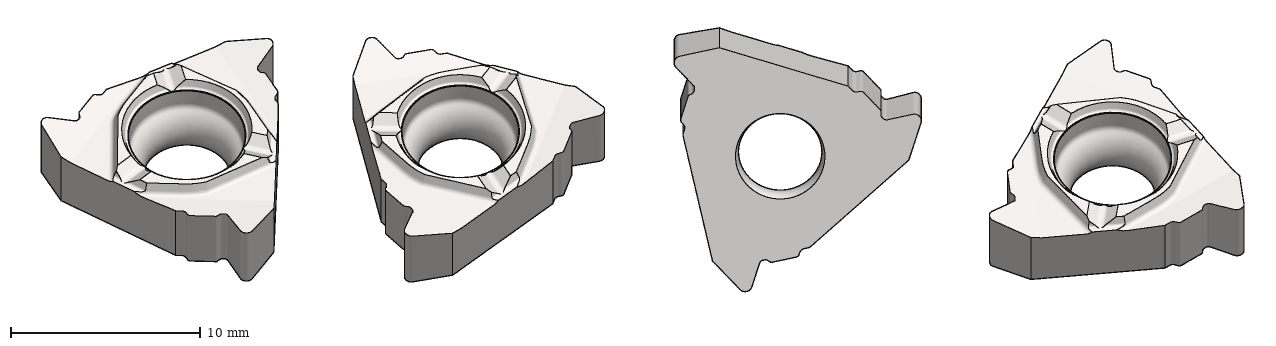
import cadquery as cq
import math

REPEAT_ANGLES = (0, 120, 240)

inscribed_radius = 4.76
total_height = 4.1
floor_height = 3.5
ledge_height = 3.63
far = 9.42
overshoot = 0.13

flank_angle = 30
left_flank_offset = 6.55
right_flank_offset = 0.73
tip_y = 6.9
tip_radius = 0.35
valley_y = 5.41
valley_end_x = -1.97
valley_radius = 0.24
land_y = 5.63
land_start_x = -1.76
land_start_radius = 0.11
land_end_x = -0.28
land_end_radius = 0.19
step_x = -0.05
step_y = 5.26
step_foot_radius = 0.28

rake_start = 4.21
rake_angle = 10
rake_blend_radius = 0.54

wall_slope = 65
tooth_wall_offset = 3.75
rear_wall_offset = 3.65
rear_wall_angle = 31.6
rear_wall_sweep = 30
side_wall_offset = 4.25
wall_foot_radius = 0.32
side_foot_radius = 0.17

notch_angle = 165.9
notch_floor_half_width = 0.03
notch_fillet_half_width = 0.23
notch_top_half_width = 0.77
notch_inner_reach = 1.35

ring_radius = 3.45
ring_foot_radius = 0.2
bore_top_radius = 3.08
bore_radius = 3.03
bore_edge_radius = 0.04
bore_bottom = 2.62
bore_blend_radius = 0.47
throat_radius = 2.2
throat_curve_radius = 1.95


def about_axis(shape, degrees):
    """Solid turned about the axis."""
    return shape.rotate((0, 0, 0), (0, 0, 1), degrees)


def turned(point, degrees):
    """Point turned about the axis."""
    angle = math.radians(degrees)
    x, y = point
    return (
        x * math.cos(angle) - y * math.sin(angle),
        x * math.sin(angle) + y * math.cos(angle),
    )


def tooth_corners():
    """Sharp corners of one tooth, left to right, each with its rounding radius."""
    cos_flank = math.cos(math.radians(flank_angle))
    sin_flank = math.sin(math.radians(flank_angle))
    shoulder_y = (left_flank_offset - inscribed_radius * cos_flank) / sin_flank
    tip_start_x = (tip_y * sin_flank - left_flank_offset) / cos_flank
    tip_end_x = (right_flank_offset - tip_y * sin_flank) / cos_flank
    valley_start_x = (right_flank_offset - valley_y * sin_flank) / cos_flank
    step_end_x = (inscribed_radius - step_y * cos_flank) / sin_flank
    return [
        ((-inscribed_radius, shoulder_y), 0),
        ((tip_start_x, tip_y), tip_radius),
        ((tip_end_x, tip_y), tip_radius),
        ((valley_start_x, valley_y), valley_radius),
        ((valley_end_x, valley_y), valley_radius),
        ((land_start_x, land_y), land_start_radius),
        ((land_end_x, land_y), land_end_radius),
        ((step_x, step_y), step_foot_radius),
        ((step_end_x, step_y), 0),
    ]


def rounded_outline(corners):
    """Closed outline through the corners, with a tangent arc at each corner that has a radius."""
    outline = None
    for index, (corner, radius) in enumerate(corners):
        vertex = cq.Vector(*corner)
        before = (cq.Vector(*corners[index - 1][0]) - vertex).normalized()
        after = (cq.Vector(*corners[(index + 1) % len(corners)][0]) - vertex).normalized()
        half_angle = before.getAngle(after) / 2
        setback = radius / math.tan(half_angle)
        apex_gap = radius / math.sin(half_angle) - radius
        start = vertex + before * setback
        outline = outline.lineTo(start.x, start.y) if outline else cq.Workplane().moveTo(start.x, start.y)
        if radius:
            middle = vertex + (before + after).normalized() * apex_gap
            end = vertex + after * setback
            outline = outline.threePointArc((middle.x, middle.y), (end.x, end.y))
    return outline.close()


def body_prism():
    """Full-height prism with the outline of the three teeth."""
    corners = []
    for angle in reversed(REPEAT_ANGLES):
        corners += [(turned(corner, angle), radius) for corner, radius in tooth_corners()]
    return rounded_outline(corners).extrude(total_height)


def wall_section(top_offset, foot_radius, base_height):
    """Region outside a sloping wall with a rounded foot: local x runs outwards, local y is height."""
    slope = math.radians(wall_slope)
    foot_rise = foot_radius * (1 - math.cos(slope))
    foot_run = foot_radius * math.sin(slope)
    wall_end_x = top_offset + (total_height - base_height - foot_rise) / math.tan(slope)
    return (
        cq.Workplane("XZ")
        .moveTo(top_offset, total_height)
        .lineTo(wall_end_x, base_height + foot_rise)
        .radiusArc((wall_end_x + foot_run, base_height), -foot_radius)
        .lineTo(far, base_height)
        .lineTo(far, total_height + overshoot)
        .lineTo(top_offset, total_height + overshoot)
        .close()
    )


def raised_centre_cutters():
    """Cutters that leave the raised centre standing beside the first tooth."""
    tooth_wall = (tooth_wall_offset, wall_foot_radius, floor_height)
    rear_wall = (rear_wall_offset, wall_foot_radius, floor_height)
    side_wall = (side_wall_offset, side_foot_radius, ledge_height)
    straight_part = wall_section(*tooth_wall).extrude(far)
    round_part = wall_section(*tooth_wall).revolve(rear_wall_sweep, (0, 0, 0), (0, 1, 0))
    rear_part = wall_section(*rear_wall).extrude(far, both=True)
    side_part = wall_section(*side_wall).extrude(far, both=True)
    return [
        about_axis(straight_part, 90),
        about_axis(round_part, 90),
        about_axis(rear_part, 90 + rear_wall_angle),
        about_axis(side_part, 180),
    ]


def notch_cutter():
    """V notch with a narrow flat floor and rounded floor corners."""
    fillet_run = notch_fillet_half_width - notch_floor_half_width
    wall_run = notch_top_half_width - notch_fillet_half_width
    depth = total_height - ledge_height
    half_tan = 0.0
    for _ in range(40):
        half_tan = math.tan(math.atan2(depth - fillet_run * half_tan, wall_run) / 2)
    fillet_rise = fillet_run * half_tan
    fillet_radius = fillet_run / math.sin(2 * math.atan(half_tan))
    fillet_top = ledge_height + fillet_rise
    notch = (
        cq.Workplane("YZ", origin=(notch_inner_reach, 0, 0))
        .moveTo(-notch_top_half_width, total_height)
        .lineTo(-notch_fillet_half_width, fillet_top)
        .radiusArc((-notch_floor_half_width, ledge_height), -fillet_radius)
        .lineTo(notch_floor_half_width, ledge_height)
        .radiusArc((notch_fillet_half_width, fillet_top), -fillet_radius)
        .lineTo(notch_top_half_width, total_height)
        .lineTo(notch_top_half_width, total_height + overshoot)
        .lineTo(-notch_top_half_width, total_height + overshoot)
        .close()
        .extrude(far)
    )
    return about_axis(notch, notch_angle)


def rake_wedge():
    """Wedge that rises from the floor towards the tip of the first tooth."""
    rake = math.radians(rake_angle)
    blend_end = rake_start + rake_blend_radius * math.sin(rake)
    blend_top = floor_height + rake_blend_radius * (1 - math.cos(rake))
    return (
        cq.Workplane("YZ")
        .moveTo(rake_start, floor_height)
        .radiusArc((blend_end, blend_top), -rake_blend_radius)
        .lineTo(far, blend_top + (far - blend_end) * math.tan(rake))
        .lineTo(far, floor_height - overshoot)
        .lineTo(rake_start, floor_height - overshoot)
        .close()
        .extrude(far, both=True)
    )


def hole_cutter():
    """Ring recess, tapered bore and waisted screw hole, turned about the axis."""
    slope = math.radians(wall_slope)
    foot_rise = ring_foot_radius * (1 - math.cos(slope))
    foot_run = ring_foot_radius * math.sin(slope)
    wall_end = ring_radius - (total_height - ledge_height - foot_rise) / math.tan(slope)
    curve_sum = throat_curve_radius + bore_blend_radius
    join = math.acos(1 - (bore_radius - throat_radius) / curve_sum)
    join_radius = bore_radius - bore_blend_radius * (1 - math.cos(join))
    join_height = bore_bottom - bore_blend_radius * math.sin(join)
    throat_height = join_height - throat_curve_radius * math.sin(join)
    throat_centre = throat_radius + throat_curve_radius
    seat_radius = throat_centre - math.sqrt(throat_curve_radius**2 - throat_height**2)
    return (
        cq.Workplane("XZ")
        .moveTo(0, total_height + overshoot)
        .lineTo(ring_radius, total_height + overshoot)
        .lineTo(ring_radius, total_height)
        .lineTo(wall_end, ledge_height + foot_rise)
        .radiusArc((wall_end - foot_run, ledge_height), ring_foot_radius)
        .lineTo(bore_top_radius + bore_edge_radius, ledge_height)
        .radiusArc((bore_top_radius, ledge_height - bore_edge_radius), -bore_edge_radius)
        .lineTo(bore_radius, bore_bottom)
        .radiusArc((join_radius, join_height), bore_blend_radius)
        .threePointArc((throat_radius, throat_height), (seat_radius, 0))
        .lineTo(0, 0)
        .close()
        .revolve(360, (0, 0, 0), (0, 1, 0))
    )


def repeated(shape):
    """The shape at all three repeat angles."""
    return [about_axis(shape, angle) for angle in REPEAT_ANGLES]


prism = body_prism()
result = prism
for cutter in raised_centre_cutters() + [notch_cutter()]:
    for copy in repeated(cutter):
        result = result.cut(copy)
for wedge in repeated(rake_wedge()):
    result = result.union(wedge.intersect(prism))
result = result.cut(hole_cutter())